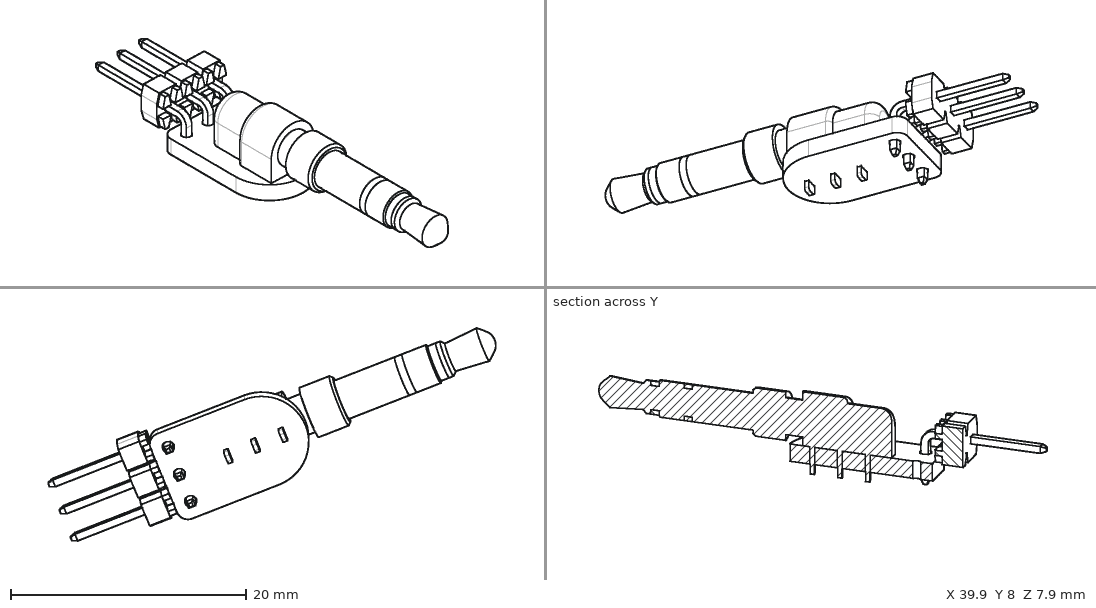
import cadquery as cq
import math


BOARD_LEFT = 9.52
BOARD_WIDTH = 8.0
BOARD_THICK = 1.65
BOARD_ARC_X = 18.5
BOARD_CORNER = 1.0

PIN_COUNT = 3
PIN_PITCH = 2.55
PIN_SIZE = 0.65
PIN_LEG_X = 10.95
PIN_Z = 1.8
PIN_BELOW_BOARD = 1.28
PIN_BEND = 0.85
PIN_TIP_LENGTH = 0.48
PIN_TIP_CUT = PIN_SIZE / 4
PIN_HOLE_DIAMETER = 1.0
PIN_YS = [(i - (PIN_COUNT - 1) / 2) * PIN_PITCH for i in range(PIN_COUNT)]

HEADER_LEFT = 6.77
HEADER_LENGTH = 1.9
HEADER_HEIGHT = 2 * PIN_Z
HEADER_WIDTH = 7.75
HEADER_SIDE_HEIGHT = 1.6
HEADER_END_SLOPE = 0.28
NOTCH_MOUTH = 0.65
NOTCH_FLOOR = 0.1
FOOT_LENGTH = 0.65
FOOT_INNER_Z = 0.5
FOOT_OUTER_Z = 1.67
FOOT_OFFSET_Y = 0.7
FOOT_INNER_WIDTH = 0.95
FOOT_OUTER_WIDTH = 0.45

AXIS_Z = 2.47
REAR_X = 13.25
STEP_X = 17.2
FRONT_X = 21.3
REAR_RADIUS = 2
STEP_RADIUS = 2.5
REAR_FILLET = 0.95
STEP_FILLET = 0.45

COLLAR_START = 22.85
COLLAR_END = 25.82
COLLAR_RADIUS = 2.27
COLLAR_CHAMFER = 0.25
SLEEVE_END = 34.35
SLEEVE_RADIUS = 1.75
SLEEVE_CHAMFER = 0.1
SHOULDER_END = 35.45
SHOULDER_RADIUS = 1.6
TIP_START = 35.8
TIP_NECK_RADIUS = 1.28
TIP_WIDEST_X = 38.77
TIP_WIDEST_RADIUS = 1.5
TIP_END = 39.85

SLEEVE_RING = (31.35, 32.05, SLEEVE_RADIUS)
TIP_RING = (SLEEVE_END, 35.05, SHOULDER_RADIUS)
RING_THICK = 0.4

TAB_XS = [15.42, 17.95, 20.45]
TAB_THICK = 0.4
TAB_WIDTH = 1.1
TAB_BELOW_BOARD = 0.9
TAB_CORNER = 0.3


def make_board():
    """Board with a round right end, holes for the header pins and slots for the solder tabs."""
    half = BOARD_WIDTH / 2
    board = (
        cq.Workplane("XY")
        .moveTo(BOARD_LEFT, -half)
        .lineTo(BOARD_ARC_X, -half)
        .threePointArc((BOARD_ARC_X + half, 0), (BOARD_ARC_X, half))
        .lineTo(BOARD_LEFT, half)
        .close()
        .extrude(-BOARD_THICK)
        .edges("|Z and <X")
        .fillet(BOARD_CORNER)
    )
    pin_holes = (
        cq.Workplane("XY")
        .pushPoints([(PIN_LEG_X, y) for y in PIN_YS])
        .circle(PIN_HOLE_DIAMETER / 2)
        .extrude(-BOARD_THICK)
    )
    tab_slots = (
        cq.Workplane("XY")
        .pushPoints([(x, 0) for x in TAB_XS])
        .rect(TAB_THICK, TAB_WIDTH)
        .extrude(-BOARD_THICK)
    )
    return board.cut(pin_holes).cut(tab_slots)


def pin_tip(plane):
    """Tapered end of a pin, growing along the normal of the plane."""
    taper = math.degrees(math.atan(PIN_TIP_CUT / PIN_TIP_LENGTH))
    return cq.Workplane(plane).rect(PIN_SIZE, PIN_SIZE).extrude(PIN_TIP_LENGTH, taper=taper)


def make_pin(y):
    """Square pin bent through a right angle, tapered at both ends."""
    leg_end_z = -BOARD_THICK - PIN_BELOW_BOARD + PIN_TIP_LENGTH
    bend_x = PIN_LEG_X - PIN_BEND
    bend_z = PIN_Z - PIN_BEND
    bend_mid = PIN_BEND * math.sqrt(0.5)
    start_plane = cq.Plane((PIN_TIP_LENGTH, y, PIN_Z), xDir=(0, 1, 0), normal=(-1, 0, 0))
    end_plane = cq.Plane((PIN_LEG_X, y, leg_end_z), xDir=(1, 0, 0), normal=(0, 0, -1))
    path = (
        cq.Workplane("XZ", origin=(0, y, 0))
        .moveTo(PIN_TIP_LENGTH, PIN_Z)
        .lineTo(bend_x, PIN_Z)
        .threePointArc((bend_x + bend_mid, bend_z + bend_mid), (PIN_LEG_X, bend_z))
        .lineTo(PIN_LEG_X, leg_end_z)
    )
    bent_bar = cq.Workplane(start_plane).rect(PIN_SIZE, PIN_SIZE).sweep(path)
    return bent_bar.union(pin_tip(start_plane)).union(pin_tip(end_plane))


def header_prism(outline, y, start, length):
    """Prism along X whose outline is given relative to the pin row."""
    return (
        cq.Workplane("YZ", origin=(start, y, PIN_Z))
        .polyline(outline)
        .close()
        .extrude(length)
    )


def header_block():
    """Eight-sided bar across all the pins."""
    wide = HEADER_WIDTH / 2
    narrow = wide - HEADER_END_SLOPE
    low = HEADER_SIDE_HEIGHT / 2
    high = HEADER_HEIGHT / 2
    outline = [
        (-wide, -low), (-narrow, -high), (narrow, -high), (wide, -low),
        (wide, low), (narrow, high), (-narrow, high), (-wide, low),
    ]
    return header_prism(outline, 0, HEADER_LEFT, HEADER_LENGTH)


def header_notch(y, side_z):
    """Tapered groove along X between two neighbouring pins."""
    floor_z = side_z * HEADER_SIDE_HEIGHT / 2
    mouth_z = side_z * HEADER_HEIGHT / 2
    outline = [
        (-NOTCH_FLOOR / 2, floor_z), (NOTCH_FLOOR / 2, floor_z),
        (NOTCH_MOUTH / 2, mouth_z), (-NOTCH_MOUTH / 2, mouth_z),
    ]
    return header_prism(outline, y, HEADER_LEFT, HEADER_LENGTH)


def header_foot(y, side_y, side_z):
    """Trapezoidal stand-off diagonally beside a pin."""
    middle = side_y * FOOT_OFFSET_Y
    inner = FOOT_INNER_WIDTH / 2
    outer = FOOT_OUTER_WIDTH / 2
    outline = [
        (middle - inner, side_z * FOOT_INNER_Z),
        (middle + inner, side_z * FOOT_INNER_Z),
        (middle + outer, side_z * FOOT_OUTER_Z),
        (middle - outer, side_z * FOOT_OUTER_Z),
    ]
    return header_prism(outline, y, HEADER_LEFT + HEADER_LENGTH, FOOT_LENGTH)


def make_header():
    """Notched bar with four feet around each pin and a square hole for each pin."""
    header = header_block()
    for y in PIN_YS[1:]:
        for side_z in (-1, 1):
            header = header.cut(header_notch(y - PIN_PITCH / 2, side_z))
    for y in PIN_YS:
        for side_y in (-1, 1):
            for side_z in (-1, 1):
                header = header.union(header_foot(y, side_y, side_z))
    pin_holes = (
        cq.Workplane("YZ", origin=(HEADER_LEFT, 0, PIN_Z))
        .pushPoints([(y, 0) for y in PIN_YS])
        .rect(PIN_SIZE, PIN_SIZE)
        .extrude(HEADER_LENGTH)
    )
    return header.cut(pin_holes)


def housing_step(start, end, radius, fillet):
    """Round-topped block standing on the board, rounded along its rear edge."""
    return (
        cq.Workplane("YZ", origin=(start, 0, 0))
        .moveTo(-radius, 0)
        .lineTo(radius, 0)
        .lineTo(radius, AXIS_Z)
        .threePointArc((0, AXIS_Z + radius), (-radius, AXIS_Z))
        .close()
        .extrude(end - start)
        .faces("<X")
        .edges("not <Z")
        .fillet(fillet)
    )


def make_barrel():
    """Turned part of the plug; its nose curves from a 45 degree slope to square on the axis."""
    profile = [
        (FRONT_X, 0),
        (FRONT_X, SLEEVE_RADIUS),
        (COLLAR_START, SLEEVE_RADIUS),
        (COLLAR_START, COLLAR_RADIUS),
        (COLLAR_END - COLLAR_CHAMFER, COLLAR_RADIUS),
        (COLLAR_END, COLLAR_RADIUS - COLLAR_CHAMFER),
        (COLLAR_END, SLEEVE_RADIUS),
        (SLEEVE_END - SLEEVE_CHAMFER, SLEEVE_RADIUS),
        (SLEEVE_END, SHOULDER_RADIUS),
        (SHOULDER_END, SHOULDER_RADIUS),
        (TIP_START, TIP_NECK_RADIUS),
        (TIP_WIDEST_X, TIP_WIDEST_RADIUS),
    ]
    return (
        cq.Workplane("XZ", origin=(0, 0, AXIS_Z))
        .polyline(profile)
        .spline([(TIP_END, 0)], tangents=[(1, -1), (0, -1)], includeCurrent=True)
        .close()
        .revolve(360, (0, 0), (1, 0))
    )


def solder_tab(x):
    """Flat tab through the board with rounded lower corners."""
    length = BOARD_THICK + TAB_BELOW_BOARD
    return (
        cq.Workplane("XY", origin=(x, 0, -length))
        .rect(TAB_THICK, TAB_WIDTH)
        .extrude(length)
        .edges("|X and <Z")
        .fillet(TAB_CORNER)
    )


def make_ring(start, end, radius):
    """Insulating ring flush with the barrel around it."""
    return (
        cq.Workplane("YZ", origin=(start, 0, AXIS_Z))
        .circle(radius)
        .circle(radius - RING_THICK)
        .extrude(end - start)
    )


def make_plug(rings):
    """Housing, barrel and solder tabs in one piece, grooved for the rings."""
    plug = (
        housing_step(REAR_X, FRONT_X, REAR_RADIUS, REAR_FILLET)
        .union(housing_step(STEP_X, FRONT_X, STEP_RADIUS, STEP_FILLET))
        .union(make_barrel())
    )
    for x in TAB_XS:
        plug = plug.union(solder_tab(x))
    for ring in rings:
        plug = plug.cut(ring)
    return plug


board = make_board()
header = make_header()
pins = [make_pin(y) for y in PIN_YS]
rings = [make_ring(*size) for size in (SLEEVE_RING, TIP_RING)]
plug = make_plug(rings)

result = cq.Compound.makeCompound(
    [board.val(), header.val(), plug.val()]
    + [pin.val() for pin in pins]
    + [ring.val() for ring in rings]
)